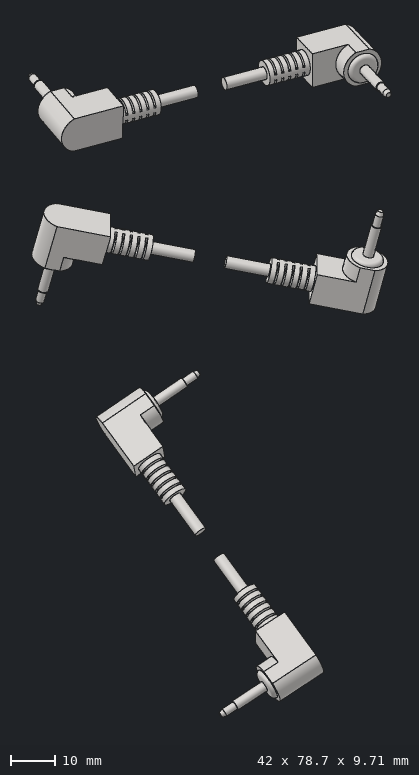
import cadquery as cq

overall_length = 78.7
cable_gap = 7.2
plug_twist = 3.5

arm_width = 8.0
head_length = 15.5
head_height = 9.0
barrel_radius = 4.8
barrel_end_x = 7.95
head_end_y = overall_length / 2
barrel_axis_y = head_end_y - barrel_radius
head_inner_y = head_end_y - head_length

cable_radius = 1.5
cable_end_y = cable_gap / 2
relief_radius = 3.0
relief_length = 10.15
relief_end_y = head_inner_y - relief_length
slot_count = 5
slot_width = 0.5
web_thickness = 1.4
ring_width = (relief_length - slot_count * slot_width) / (slot_count + 1)
slot_pitch = ring_width + slot_width

collar_radius = 3.7
collar_length = 1.0
collar_rounding = 0.95
sleeve_radius = 1.25
sleeve_end_x = 17.0
tip_radius = 1.0
tip_end_x = 21.0
tip_cone_length = 1.0
tip_flat_radius = 0.6


def rod_along_x(radius, start_x, end_x):
    """Cylinder on the barrel axis."""
    return (
        cq.Workplane("YZ", origin=(start_x, barrel_axis_y, 0))
        .circle(radius)
        .extrude(end_x - start_x)
    )


def rod_along_y(radius, start_y, end_y):
    """Cylinder on the cable axis."""
    return (
        cq.Workplane("XZ", origin=(0, end_y, 0))
        .circle(radius)
        .extrude(end_y - start_y)
    )


def make_head():
    """Arm joined to a barrel whose top and bottom are trimmed flush with the arm."""
    arm_length = barrel_axis_y - head_inner_y
    arm = cq.Workplane("XY").box(arm_width, arm_length, head_height)
    arm = arm.translate((0, head_inner_y + arm_length / 2, 0))
    barrel = rod_along_x(barrel_radius, -arm_width / 2, barrel_end_x)
    trim_size = 2 * overall_length
    trim = cq.Workplane("XY").box(trim_size, trim_size, head_height)
    return arm.union(barrel.intersect(trim))


def make_strain_relief():
    """Cylinder with pairs of slots that leave a flat central web."""
    relief = rod_along_y(relief_radius, relief_end_y, head_inner_y)
    slot_depth = relief_radius - web_thickness / 2
    slot_center_z = web_thickness / 2 + slot_depth / 2
    for index in range(slot_count):
        slot_y = relief_end_y + ring_width + slot_width / 2 + index * slot_pitch
        for side in (-1, 1):
            slot = cq.Workplane("XY").box(2 * relief_radius, slot_width, slot_depth)
            relief = relief.cut(slot.translate((0, slot_y, side * slot_center_z)))
    return relief


def make_jack_pin():
    """Rounded collar, sleeve and narrower tip that ends in a blunt cone."""
    collar_end_x = barrel_end_x + collar_length
    collar = rod_along_x(collar_radius, barrel_end_x, collar_end_x)
    collar = collar.faces(">X").edges().fillet(collar_rounding)
    sleeve = rod_along_x(sleeve_radius, collar_end_x, sleeve_end_x)
    tip_profile = [
        (sleeve_end_x, 0),
        (sleeve_end_x, tip_radius),
        (tip_end_x - tip_cone_length, tip_radius),
        (tip_end_x, tip_flat_radius),
        (tip_end_x, 0),
    ]
    tip = cq.Workplane("XY").polyline(tip_profile).close().revolve(360, (0, 0, 0), (1, 0, 0))
    tip = tip.translate((0, barrel_axis_y, 0))
    return collar.union(sleeve).union(tip)


def make_plug():
    cable = rod_along_y(cable_radius, cable_end_y, relief_end_y)
    return make_head().union(make_strain_relief()).union(cable).union(make_jack_pin())


plugs = []
for turn, twist in ((0, 0), (180, plug_twist)):
    plug = make_plug().rotate((0, 0, 0), (0, 0, 1), turn)
    plugs.append(plug.rotate((0, 0, 0), (0, 1, 0), twist).val())

result = cq.Compound.makeCompound(plugs)